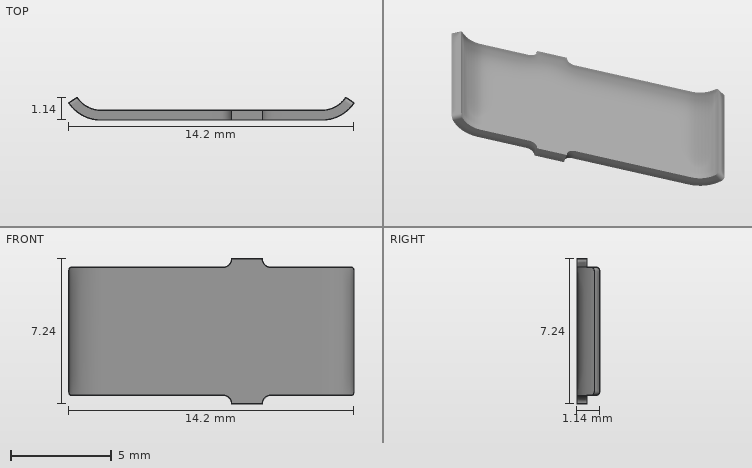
import cadquery as cq
import math

length = 14.22
thickness = 0.5
strip_height = 6.38

bend_outer_radius = 1.93
bend_inner_radius = bend_outer_radius - thickness
bend_angle = math.radians(56.5)
flat_half_length = length / 2 - bend_outer_radius * math.sin(bend_angle)
tip_corner_radius = 0.2

overall_height = 7.24
tab_width = 1.54
tab_center_x = 1.77
tab_root_radius = 0.42


def bend_point(radius, angle, side):
    """Point on a bend arc, measured from the flat; side is -1 (left) or +1 (right)."""
    x = side * (flat_half_length + radius * math.sin(angle))
    y = bend_outer_radius - radius * math.cos(angle)
    return (x, y)


def make_strip():
    """Constant-thickness curled profile, extruded along Z about the mid-plane."""
    half_angle = bend_angle / 2
    outer, inner = bend_outer_radius, bend_inner_radius
    return (
        cq.Workplane("XY")
        .moveTo(*bend_point(outer, 0, -1))
        .lineTo(*bend_point(outer, 0, 1))
        .threePointArc(bend_point(outer, half_angle, 1), bend_point(outer, bend_angle, 1))
        .lineTo(*bend_point(inner, bend_angle, 1))
        .threePointArc(bend_point(inner, half_angle, 1), bend_point(inner, 0, 1))
        .lineTo(*bend_point(inner, 0, -1))
        .threePointArc(bend_point(inner, half_angle, -1), bend_point(inner, bend_angle, -1))
        .lineTo(*bend_point(outer, bend_angle, -1))
        .threePointArc(bend_point(outer, half_angle, -1), bend_point(outer, 0, -1))
        .close()
        .extrude(strip_height / 2, both=True)
    )


def round_tip_corners(strip):
    """Round the upper and lower corners of both curled tips through the thickness."""
    mid_radius = (bend_outer_radius + bend_inner_radius) / 2
    for side in (-1, 1):
        tip_x, tip_y = bend_point(mid_radius, bend_angle, side)
        for tip_z in (-strip_height / 2, strip_height / 2):
            corner = cq.selectors.NearestToPointSelector((tip_x, tip_y, tip_z))
            strip = strip.edges(corner).fillet(tip_corner_radius)
    return strip


def make_tabs():
    """Bar crossing the full strip height so that its ends stand out as the two tabs."""
    return (
        cq.Workplane("XY")
        .center(tab_center_x, thickness / 2)
        .rect(tab_width, thickness)
        .extrude(overall_height / 2, both=True)
    )


def fillet_tab_roots(body):
    """Blend the sides of each tab into the strip edge."""
    for side in (-1, 1):
        root_x = tab_center_x + side * tab_width / 2
        for root_z in (-strip_height / 2, strip_height / 2):
            root = cq.selectors.NearestToPointSelector((root_x, thickness / 2, root_z))
            body = body.edges("|Y").edges(root).fillet(tab_root_radius)
    return body


strip = round_tip_corners(make_strip())
result = fillet_tab_roots(strip.union(make_tabs()))